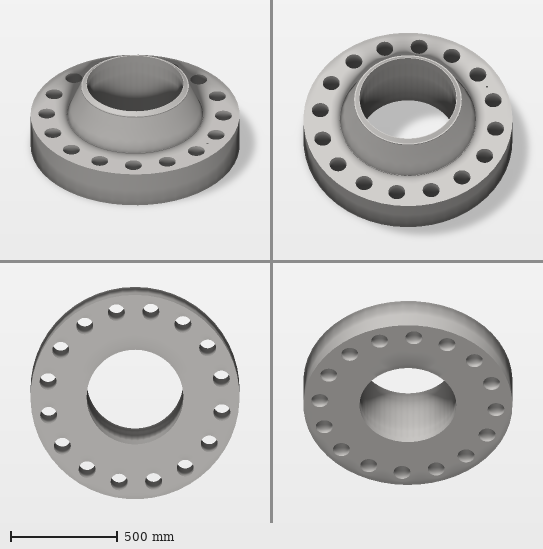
import cadquery as cq
import math

flange_diameter = 984.0
flange_thickness = 177.0
total_height = 355.0

bore_diameter = 456.0
hub_seat_diameter = 644.0
hub_seat_height = 3.0
hub_base_diameter = 640.0
hub_end_diameter = 507.0
end_band_height = 5.0

bevel_height = 14.0
bevel_base_diameter = 495.0
bevel_top_diameter = 461.0

bolt_count = 16
bolt_circle_diameter = 831.0
bolt_hole_diameter = 80.0

mark_hole_diameter = 11.0
mark_hole_depth = 12.0
mark_hole_angle = 360.0 / bolt_count / 2


def revolved_body():
    """Flange disc and weld neck, revolved around Z from half a section."""
    bore_radius = bore_diameter / 2
    flange_radius = flange_diameter / 2
    hub_seat_radius = hub_seat_diameter / 2
    hub_base_radius = hub_base_diameter / 2
    hub_end_radius = hub_end_diameter / 2
    seat_top = flange_thickness + hub_seat_height
    band_top = total_height - bevel_height
    section = [
        (bore_radius, 0),
        (flange_radius, 0),
        (flange_radius, flange_thickness),
        (hub_seat_radius, flange_thickness),
        (hub_seat_radius, seat_top),
        (hub_base_radius, seat_top),
        (hub_end_radius, band_top - end_band_height),
        (hub_end_radius, band_top),
        (bevel_base_diameter / 2, band_top),
        (bevel_top_diameter / 2, total_height),
        (bore_radius, total_height),
    ]
    return cq.Workplane("XZ").polyline(section).close().revolve(360, (0, 0, 0), (0, 1, 0))


def bolt_holes():
    """Ring of through holes, the first one on the +X axis."""
    return (
        cq.Workplane("XY")
        .polarArray(bolt_circle_diameter / 2, 0, 360, bolt_count)
        .circle(bolt_hole_diameter / 2)
        .extrude(flange_thickness)
    )


def mark_hole():
    """Blind hole in the upper flange face, on the bolt circle."""
    angle = math.radians(mark_hole_angle)
    radius = bolt_circle_diameter / 2
    return (
        cq.Workplane("XY", origin=(0, 0, flange_thickness))
        .center(radius * math.cos(angle), radius * math.sin(angle))
        .circle(mark_hole_diameter / 2)
        .extrude(-mark_hole_depth)
    )


result = revolved_body().cut(bolt_holes()).cut(mark_hole())